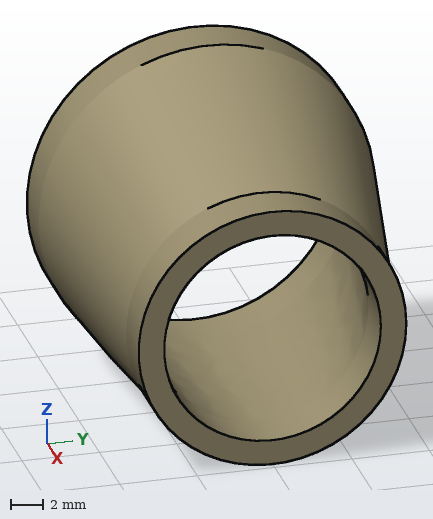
import cadquery as cq

large_diameter = 21.7
small_diameter = 17.3
wall = 1.65
total_length = 19.0
collar_length = 3.0

taper_length = total_length - 2 * collar_length
axis_drop = (large_diameter - small_diameter) / 2


def reducer_body(inset):
    """Solid of two straight ends and an eccentric taper, shrunk radially by inset."""
    large_radius = large_diameter / 2 - inset
    small_radius = small_diameter / 2 - inset

    large_end = cq.Workplane("YZ").circle(large_radius).extrude(collar_length)
    taper = (
        cq.Workplane("YZ", origin=(collar_length, 0, 0))
        .circle(large_radius)
        .workplane(offset=taper_length)
        .center(0, -axis_drop)
        .circle(small_radius)
        .loft(ruled=True)
    )
    small_end = (
        cq.Workplane("YZ", origin=(total_length - collar_length, 0, -axis_drop))
        .circle(small_radius)
        .extrude(collar_length)
    )
    return large_end.union(taper).union(small_end)


outside = reducer_body(0)
bore = reducer_body(wall)
result = outside.cut(bore)